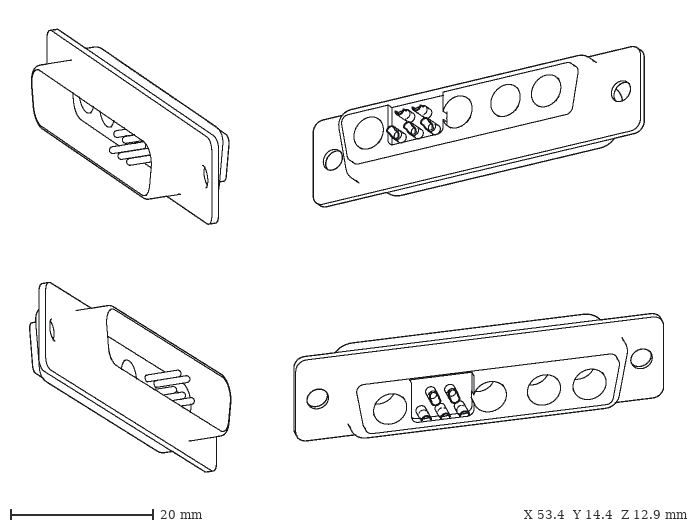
import cadquery as cq
import math

FRONT_RIM_Y = -5.9
FLOOR_Y = 0.3
FLANGE_BACK_Y = 1.05
REAR_SHELL_Y = 5.1
INSULATOR_Y = 6.5
CUP_END_Y = 8.45

TOLERANCE = 0.005

FLANGE_LENGTH = 53.4
FLANGE_HEIGHT = 12.95
FLANGE_CORNER_RADIUS = 1.6
SCREW_X = 23.5
SCREW_DIAMETER = 3.1
SCREW_LEAD_IN = 0.5

SIDE_ANGLE = 10.0
FRONT_HALF_WIDTH = 19.9
FRONT_HALF_HEIGHT = 4.65
FRONT_CORNER_RADIUS = 3.15
WALL = 0.6
RIM_ROUND = 0.55
FRONT_ROOT_FILLET = 0.45
REAR_HALF_WIDTH = 20.7
REAR_HALF_HEIGHT = 5.45
REAR_CORNER_RADIUS = 2.15
REAR_ROUND = 1.2
REAR_ROOT_FILLET = 0.75
INSULATOR_HALF_WIDTH = 18.9
INSULATOR_EDGE_ROUND = 0.15
INSULATOR_HALF_HEIGHT = 3.65
INSULATOR_CORNER_RADIUS = 1.05

POWER_DIAMETER = 4.8
POWER_XS = (-14.55, -7.9, -0.05, 14.4)

CONTACT_PITCH = 2.8
CONTACT_CENTER_X = 6.9
ROW_SPACING = 2.85
ROW_Z = ROW_SPACING / 2
PIN_DIAMETER = 0.95
PIN_TIP_Y = -5.0
CUP_DIAMETER = 1.45
CUP_BORE = 1.2
CUP_FLAT_START_Y = 7.7
CUP_SLOPE_ANGLE = 36.0

POCKET_WIDTH = 9.05
POCKET_CENTER_X = 6.8
POCKET_FLOOR_Y = 5.4
POCKET_BOTTOM_Z = -2.65
POCKET_CORNER_RADIUS = 0.95


def plane_at(y):
    """XZ plane at depth y whose positive extrusion goes toward +Y and whose local Y is -Z."""
    return cq.Plane(origin=(0, y, 0), xDir=(1, 0, 0), normal=(0, 1, 0))


def d_prism(half_width, half_height, radius, y_start, y_end):
    """Rounded trapezoid, wide side up, extruded from y_start to y_end."""
    center_z = half_height - radius
    top_x = half_width - radius
    bottom_x = top_x - 2 * center_z * math.tan(math.radians(SIDE_ANGLE))
    corner_centers = [
        (-top_x, -center_z),
        (top_x, -center_z),
        (bottom_x, center_z),
        (-bottom_x, center_z),
    ]
    outline = cq.Workplane(plane_at(y_start)).polyline(corner_centers).close().offset2D(radius, "arc")
    return outline.extrude(y_end - y_start)


def cylinder(x, z, diameter, y_start, y_end):
    """Round bar along Y, centered on (x, z)."""
    return cq.Workplane(plane_at(y_start)).center(x, -z).circle(diameter / 2).extrude(y_end - y_start)


def edges_at(x, y, reach):
    """Selector for edges in the plane at depth y that stay within reach of (x, y, 0) along X and Z."""
    low_corner = (x - reach, y - TOLERANCE, -reach)
    high_corner = (x + reach, y + TOLERANCE, reach)
    return cq.selectors.BoxSelector(low_corner, high_corner, boundingbox=True)


def make_shell():
    flange = (
        cq.Workplane(plane_at(0))
        .rect(FLANGE_LENGTH, FLANGE_HEIGHT)
        .extrude(FLANGE_BACK_Y)
        .edges("|Y")
        .fillet(FLANGE_CORNER_RADIUS)
    )
    front = d_prism(FRONT_HALF_WIDTH, FRONT_HALF_HEIGHT, FRONT_CORNER_RADIUS, FRONT_RIM_Y, 0)
    front = front.faces("<Y").edges().fillet(RIM_ROUND)
    rear = d_prism(REAR_HALF_WIDTH, REAR_HALF_HEIGHT, REAR_CORNER_RADIUS, FLANGE_BACK_Y, REAR_SHELL_Y)
    rear = rear.faces(">Y").edges().fillet(REAR_ROUND)
    shell = flange.union(front).union(rear)
    inside_screws = SCREW_X - SCREW_DIAMETER
    shell = shell.edges(edges_at(0, 0, inside_screws)).fillet(FRONT_ROOT_FILLET)
    shell = shell.edges(edges_at(0, FLANGE_BACK_Y, inside_screws)).fillet(REAR_ROOT_FILLET)
    cavity = d_prism(
        FRONT_HALF_WIDTH - WALL, FRONT_HALF_HEIGHT - WALL, FRONT_CORNER_RADIUS - WALL, FRONT_RIM_Y, FLOOR_Y
    )
    shell = shell.cut(cavity)
    for x in (-SCREW_X, SCREW_X):
        shell = shell.cut(cylinder(x, 0, SCREW_DIAMETER, 0, FLANGE_BACK_Y))
        shell = shell.edges(edges_at(x, 0, SCREW_DIAMETER)).fillet(SCREW_LEAD_IN)
    return shell


def make_insulator():
    block = d_prism(
        INSULATOR_HALF_WIDTH, INSULATOR_HALF_HEIGHT, INSULATOR_CORNER_RADIUS, REAR_SHELL_Y, INSULATOR_Y
    )
    block = block.faces(">Y").edges().fillet(INSULATOR_EDGE_ROUND)
    pocket_height = INSULATOR_HALF_HEIGHT - POCKET_BOTTOM_Z
    pocket = (
        cq.Workplane("XY")
        .box(POCKET_WIDTH, INSULATOR_Y - POCKET_FLOOR_Y, pocket_height, centered=(True, False, False))
        .edges("|Y and <Z")
        .fillet(POCKET_CORNER_RADIUS)
        .translate((POCKET_CENTER_X, POCKET_FLOOR_Y, POCKET_BOTTOM_Z))
    )
    return block.cut(pocket)


def make_contact(x, z):
    """Round-nosed pin in front and, separately behind, a solder cup cut open on its side away from Z = 0."""
    pin = cylinder(x, z, PIN_DIAMETER, PIN_TIP_Y + PIN_DIAMETER / 2, FLOOR_Y)
    nose = cq.Workplane("XY").sphere(PIN_DIAMETER / 2).translate((x, PIN_TIP_Y + PIN_DIAMETER / 2, z))
    cup = cylinder(x, z, CUP_DIAMETER, POCKET_FLOOR_Y, CUP_END_Y)
    bore = cylinder(x, z, CUP_BORE, INSULATOR_Y, CUP_END_Y)
    outward = math.copysign(1, z)
    slope_rise = CUP_DIAMETER
    slope_start_y = CUP_FLAT_START_Y - slope_rise / math.tan(math.radians(CUP_SLOPE_ANGLE))
    opening = (
        cq.Workplane("YZ")
        .moveTo(CUP_END_Y, z)
        .lineTo(CUP_FLAT_START_Y, z)
        .lineTo(slope_start_y, z + outward * slope_rise)
        .lineTo(CUP_END_Y, z + outward * slope_rise)
        .close()
        .extrude(CUP_DIAMETER, both=True)
        .translate((x, 0, 0))
    )
    return pin.union(nose), cup.cut(bore).cut(opening)


result = make_shell().union(make_insulator())

for power_x in POWER_XS:
    result = result.cut(cylinder(power_x, 0, POWER_DIAMETER, FLOOR_Y, INSULATOR_Y))

contact_rows = [
    (ROW_Z, (-0.5, 0.5)),
    (-ROW_Z, (-1, 0, 1)),
]
for row_z, steps in contact_rows:
    for step in steps:
        contact_pin, solder_cup = make_contact(CONTACT_CENTER_X + step * CONTACT_PITCH, row_z)
        result = result.union(contact_pin).union(solder_cup)